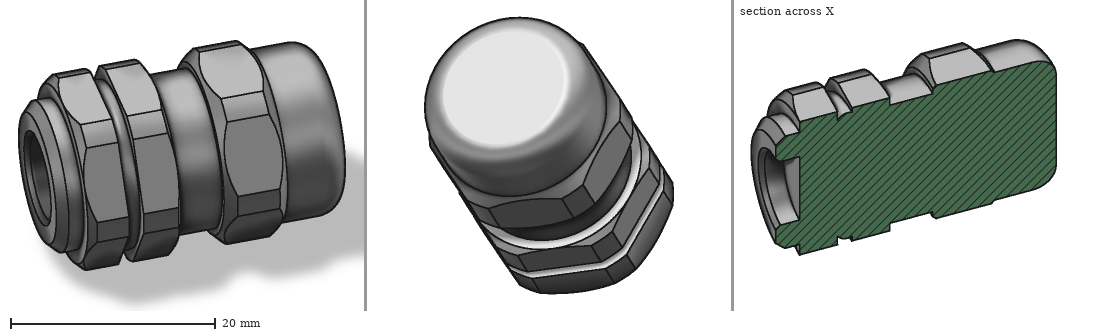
import cadquery as cq
import math


thread_length = 2.52
thread_chamfer = 1.0
locknut_length = 4.0
seal_gap = 1.5
body_hex_length = 4.0
neck_length = 4.5
cap_hex_length = 6.5
cap_collar_length = 4.0
dome_radius = 2.5

locknut_start = thread_length
locknut_end = locknut_start + locknut_length
body_hex_start = locknut_end + seal_gap
body_hex_end = body_hex_start + body_hex_length
cap_hex_start = body_hex_end + neck_length
cap_hex_end = cap_hex_start + cap_hex_length
cap_end = cap_hex_end + cap_collar_length + dome_radius

thread_diameter = 15.2
seal_outer_diameter = 17.0
body_diameter = 16.0
cap_diameter = 17.3

seal_section_radius = 1.15
seal_centre_offset = 0.45

across_flats = 18.0
corner_diameter = 19.5
steep_chamfer_angle = 45.0
shallow_chamfer_angle = 30.0

bore_diameter = 8.5
bore_chamfer = 0.5
bore_depth = 2.5


def cylinder(diameter, start, end):
    """Cylinder about the Y axis between two stations."""
    return cq.Workplane("XZ", origin=(0, start, 0)).circle(diameter / 2).extrude(start - end)


def revolve_about_y(profile):
    """Full turn about the Y axis of a profile drawn in the XY plane."""
    return profile.revolve(360, (0, 0, 0), (0, 1, 0))


def corner_chamfer(face_diameter, angle):
    """Axial length of a corner chamfer that starts at face_diameter on the end face."""
    return (corner_diameter - face_diameter) / 2 * math.tan(math.radians(angle))


def hexagon(start, end, face_diameter, start_chamfer=0.0, end_chamfer=0.0):
    """Hexagon with flats facing +Z and -Z, rounded corners and conical end chamfers."""
    corner_radius = corner_diameter / 2
    start_radius = face_diameter / 2 if start_chamfer else corner_radius
    end_radius = face_diameter / 2 if end_chamfer else corner_radius
    sharp_corner_diameter = across_flats / math.cos(math.pi / 6)
    prism = cq.Workplane("XZ", origin=(0, start, 0)).polygon(6, sharp_corner_diameter).extrude(start - end)

    envelope = cq.Workplane("XY").moveTo(0, start).lineTo(start_radius, start)
    if start_chamfer:
        envelope = envelope.lineTo(corner_radius, start + start_chamfer)
    envelope = envelope.lineTo(corner_radius, end - end_chamfer)
    if end_chamfer:
        envelope = envelope.lineTo(end_radius, end)
    envelope = envelope.lineTo(0, end).close()
    return prism.intersect(revolve_about_y(envelope))


def threaded_end():
    stub = cylinder(thread_diameter, 0, locknut_start)
    return stub.faces("<Y").chamfer(thread_chamfer)


def locknut():
    chamfer = corner_chamfer(across_flats, steep_chamfer_angle)
    return hexagon(locknut_start, locknut_end, across_flats, start_chamfer=chamfer)


def seal_ring():
    """Rounded ring squeezed between the nuts and filled solid to the axis."""
    seal_radius = seal_outer_diameter / 2
    section_centre = seal_radius - seal_section_radius
    crest_station = body_hex_start - seal_centre_offset

    def rim_radius(station):
        return section_centre + math.sqrt(seal_section_radius**2 - (station - crest_station) ** 2)

    profile = (
        cq.Workplane("XY")
        .moveTo(0, locknut_end)
        .lineTo(rim_radius(locknut_end), locknut_end)
        .threePointArc((seal_radius, crest_station), (rim_radius(body_hex_start), body_hex_start))
        .lineTo(0, body_hex_start)
        .close()
    )
    return revolve_about_y(profile)


def body():
    chamfer = corner_chamfer(across_flats, shallow_chamfer_angle)
    nut = hexagon(body_hex_start, body_hex_end, across_flats, end_chamfer=chamfer)
    return nut.union(cylinder(body_diameter, body_hex_end, cap_hex_start))


def cap():
    chamfer = corner_chamfer(cap_diameter, steep_chamfer_angle)
    nut = hexagon(cap_hex_start, cap_hex_end, cap_diameter, chamfer, chamfer)
    dome = cylinder(cap_diameter, cap_hex_end, cap_end).faces(">Y").edges().fillet(dome_radius)
    return nut.union(dome)


def entry_bore():
    bore_radius = bore_diameter / 2
    profile = (
        cq.Workplane("XY")
        .lineTo(bore_radius + bore_chamfer, 0)
        .lineTo(bore_radius, bore_chamfer)
        .lineTo(bore_radius, bore_depth)
        .lineTo(0, bore_depth)
        .close()
    )
    return revolve_about_y(profile)


result = (
    threaded_end()
    .union(locknut())
    .union(seal_ring())
    .union(body())
    .union(cap())
    .cut(entry_bore())
)